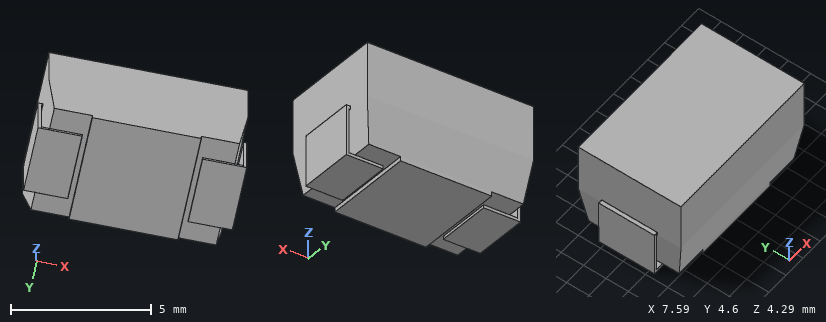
import cadquery as cq

overall_length = 7.59
overall_height = 4.29

housing_length = 7.24
housing_width = 4.6
base_length = 6.73
base_width = 4.06
standoff_height = 0.18
pad_length = 3.96

strip_thickness = 0.13
terminal_width = 2.5
terminal_height = 2.125
foot_length = 1.61
parting_height = terminal_height - strip_thickness


def make_housing():
    """Housing resting on its pad at Z = 0, centred on X and Y."""
    upper = (
        cq.Workplane("XY", origin=(0, 0, parting_height))
        .rect(housing_length, housing_width)
        .extrude(overall_height - parting_height)
    )
    lower = (
        cq.Workplane("XY", origin=(0, 0, standoff_height))
        .rect(base_length, base_width)
        .workplane(offset=parting_height - standoff_height)
        .rect(housing_length, housing_width)
        .loft(ruled=True)
    )
    pad = cq.Workplane("XY").rect(pad_length, base_width).extrude(standoff_height)
    return upper.union(lower).union(pad)


def make_terminal(side):
    """Strip with a foot, an upright and a short top tab; side is -1 or +1 along X."""
    outer_x = side * overall_length / 2
    inner_x = side * (overall_length / 2 - strip_thickness)
    housing_x = side * housing_length / 2
    toe_x = side * (overall_length / 2 - foot_length)
    profile = [
        (toe_x, 0),
        (outer_x, 0),
        (outer_x, terminal_height),
        (housing_x, terminal_height),
        (housing_x, parting_height),
        (inner_x, parting_height),
        (inner_x, strip_thickness),
        (toe_x, strip_thickness),
    ]
    return cq.Workplane("XZ").polyline(profile).close().extrude(terminal_width / 2, both=True)


housing = make_housing()
terminals = [make_terminal(side) for side in (-1, 1)]

result = cq.Compound.makeCompound([housing.val(), *[terminal.val() for terminal in terminals]])